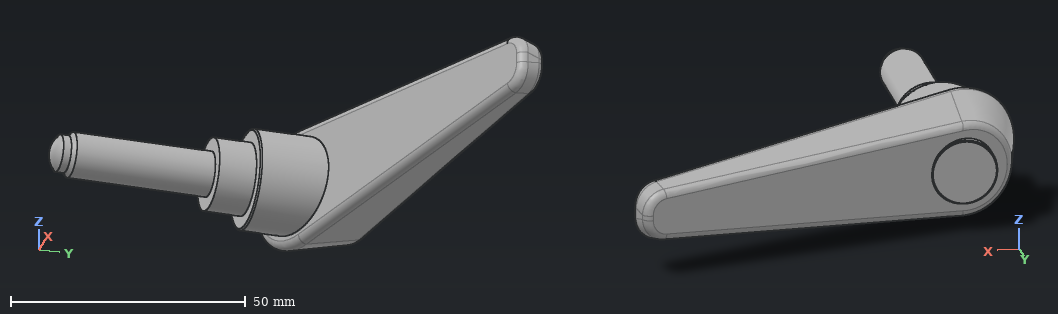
import cadquery as cq
import math


draft_angle = 13.3
base_radius = 16.65
top_slope = 13.6
bottom_slope = 20.0
top_height = 26.6
bottom_height = 11.2
tip_x = 73.5
tip_lean = 17.0
tip_radius = 5.2
rim_radius = 1.8
side_taper = 0.9
blank_height = 48.7

hub_radius = 11.0
hub_chamfer = 0.35

button_radius = 7.2
button_top = 28.0
button_chamfer = 0.3
collar_radius = 8.0
collar_bottom = -8.2
rod_radius = 5.0
rod_bottom = -40.1
rod_chamfer = 1.0
pin_radius = 4.1
pin_bottom = -41.9
dome_bottom = -43.65


def slope(angle):
    return math.tan(math.radians(angle))


def drafted_radius(height):
    return base_radius - height * slope(draft_angle)


def revolve_about_y(profile):
    return profile.close().revolve(360, (0, 0, 0), (0, 1, 0))


def cylinder_along_y(radius, bottom, top):
    return cq.Workplane("XZ", origin=(0, bottom, 0)).circle(radius).extrude(bottom - top)


def teardrop_outline(height):
    """Round hub end with two straight sides leaving it tangentially and closing in toward +X."""
    radius = drafted_radius(height)
    taper = math.radians(side_taper)
    tangent_x = radius * math.sin(taper)
    tangent_z = radius * math.cos(taper)
    end_x = tip_x + base_radius
    end_z = radius / math.cos(taper) - end_x * math.tan(taper)
    edges = [
        cq.Edge.makeThreePointArc(
            cq.Vector(tangent_x, height, tangent_z),
            cq.Vector(-radius, height, 0),
            cq.Vector(tangent_x, height, -tangent_z),
        ),
        cq.Edge.makeLine(cq.Vector(tangent_x, height, -tangent_z), cq.Vector(end_x, height, -end_z)),
        cq.Edge.makeLine(cq.Vector(end_x, height, -end_z), cq.Vector(end_x, height, end_z)),
        cq.Edge.makeLine(cq.Vector(end_x, height, end_z), cq.Vector(tangent_x, height, tangent_z)),
    ]
    return cq.Wire.assembleEdges(edges)


def make_drafted_blank():
    """Teardrop that narrows evenly going up."""
    return cq.Workplane(
        cq.Solid.makeLoft([teardrop_outline(0), teardrop_outline(blank_height)], True)
    )


def make_side_prism():
    """Side outline of the handle between its two sloping faces, cut off square at the tip."""
    def top_at(x):
        return top_height + x * slope(top_slope)

    def bottom_at(x):
        return bottom_height + x * slope(bottom_slope)

    lean = slope(tip_lean)
    tip_y = (top_at(tip_x) + bottom_at(tip_x)) / 2
    top_tip_x = tip_x - lean * (top_at(tip_x) - tip_y) / (1 + lean * slope(top_slope))
    bottom_tip_x = tip_x + lean * (tip_y - bottom_at(tip_x)) / (1 + lean * slope(bottom_slope))
    back_x = -1.5 * base_radius
    return (
        cq.Workplane("XY")
        .moveTo(back_x, bottom_at(back_x))
        .lineTo(bottom_tip_x, bottom_at(bottom_tip_x))
        .lineTo(top_tip_x, top_at(top_tip_x))
        .lineTo(back_x, top_at(back_x))
        .close()
        .extrude(base_radius, both=True)
    )


def make_lever():
    handle = make_drafted_blank().intersect(make_side_prism())
    handle = handle.faces(">X").edges("<Z or >Z").fillet(tip_radius)
    top_normal = cq.Vector(-slope(top_slope), 1, 0)
    bottom_normal = cq.Vector(slope(bottom_slope), -1, 0)
    handle = handle.faces(cq.selectors.DirectionMinMaxSelector(top_normal)).edges().fillet(rim_radius)
    handle = handle.faces(cq.selectors.DirectionMinMaxSelector(bottom_normal)).edges().fillet(rim_radius)
    hub = cylinder_along_y(hub_radius, 0, (bottom_height + top_height) / 2)
    hub = hub.faces("<Y").edges().chamfer(hub_chamfer)
    bore = cylinder_along_y(button_radius, 0, 2 * button_top)
    return handle.union(hub).cut(bore)


def make_stud():
    return revolve_about_y(
        cq.Workplane("XY")
        .moveTo(0, button_top)
        .lineTo(button_radius - button_chamfer, button_top)
        .lineTo(button_radius, button_top - button_chamfer)
        .lineTo(button_radius, 0)
        .lineTo(collar_radius, 0)
        .lineTo(collar_radius, collar_bottom)
        .lineTo(rod_radius, collar_bottom)
        .lineTo(rod_radius, rod_bottom + rod_chamfer)
        .lineTo(pin_radius, rod_bottom)
        .lineTo(pin_radius, pin_bottom)
        .threePointArc(dome_midpoint(), (0, dome_bottom))
    )


def dome_midpoint():
    """Point halfway along the dome's arc from the pin edge to its apex."""
    dome_height = pin_bottom - dome_bottom
    dome_radius = (pin_radius**2 + dome_height**2) / (2 * dome_height)
    half_angle = math.asin(pin_radius / dome_radius) / 2
    centre_y = dome_bottom + dome_radius
    return (dome_radius * math.sin(half_angle), centre_y - dome_radius * math.cos(half_angle))


lever = make_lever()
stud = make_stud()
result = cq.Compound.makeCompound([lever.val(), stud.val()])